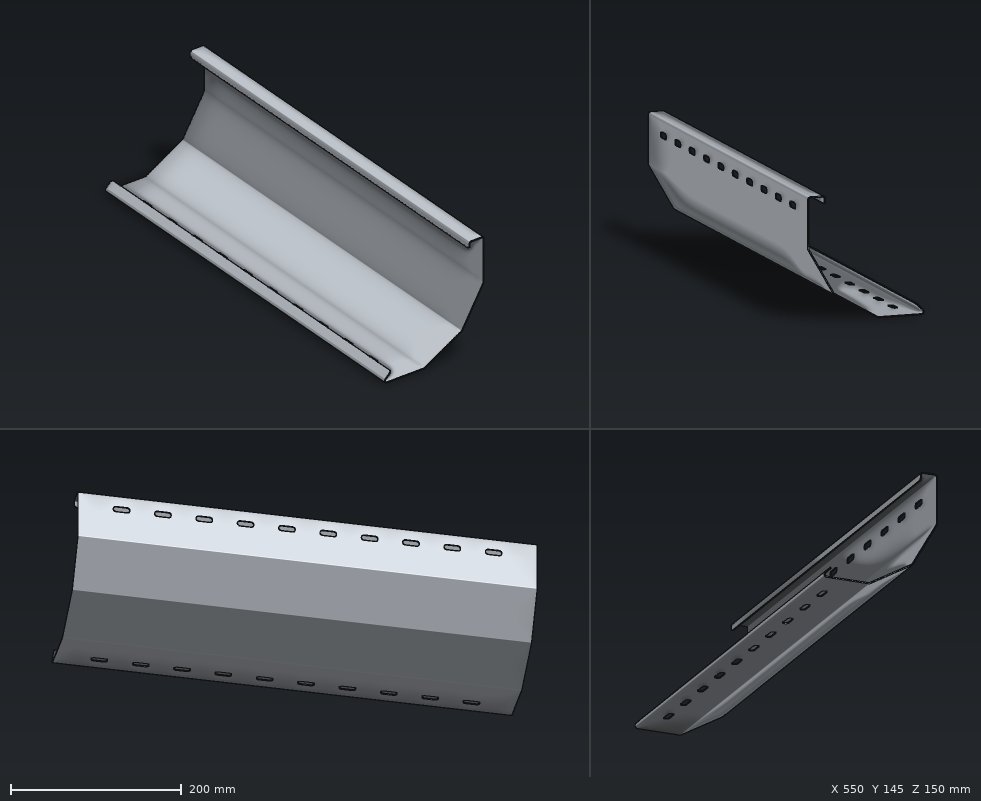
import cadquery as cq
import math

length = 550.0
depth = 145.0
height = 150.0
thickness = 1.5

facet_length = 64.0
steep_angle = 60.0
shallow_angle = 30.0
top_flange = 22.0
top_lip = 10.0
hook_length = 11.5
hook_angle = 45.0
inner_bend_radius = 2.0
lip_corner_radius = 3.5

slot_count = 10
slot_pitch = 49.5
slot_length = 20.0
slot_width = 7.0
back_slot_drop = 19.0
floor_slot_setback = 20.5

half_length = length / 2
outer_bend_radius = inner_bend_radius + thickness
front = -depth / 2
back = depth / 2
bottom = -height / 2
top = height / 2


def step(point, angle, distance):
    """Point reached by moving a distance at an angle in the YZ plane."""
    direction = math.radians(angle)
    return (point[0] + distance * math.cos(direction), point[1] + distance * math.sin(direction))


def offset_right(points, distance):
    """Mitred parallel of an open polyline, on the right of its direction of travel."""
    headings = [math.atan2(b[1] - a[1], b[0] - a[0]) for a, b in zip(points, points[1:])]
    before = [headings[0]] + headings
    after = headings + [headings[-1]]
    shifted = []
    for (y, z), h_in, h_out in zip(points, before, after):
        spread = 1 + math.cos(h_out - h_in)
        shifted.append((
            y + distance * (math.sin(h_in) + math.sin(h_out)) / spread,
            z - distance * (math.cos(h_in) + math.cos(h_out)) / spread,
        ))
    return shifted


def edges_near(solid, points):
    """Edges of the solid, the closest one to each point."""
    picked = solid.newObject([])
    for point in points:
        picked = picked.add(solid.edges(cq.NearestToPointSelector(point)))
    return picked


facets_run = facet_length * (math.cos(math.radians(steep_angle)) + math.cos(math.radians(shallow_angle)))
floor_back = (back - facets_run, bottom)
facet_joint = step(floor_back, shallow_angle, facet_length)
wall_foot = step(facet_joint, steep_angle, facet_length)

front_tangent = outer_bend_radius * math.tan(math.radians(90 - hook_angle / 2))
front_apex = (front + outer_bend_radius - front_tangent, bottom)

outside = [
    (back - top_flange, top - top_lip),
    (back - top_flange, top),
    (back, top),
    wall_foot,
    facet_joint,
    floor_back,
    front_apex,
    step(front_apex, hook_angle, front_tangent + hook_length),
]
inside = offset_right(outside, thickness)

gutter = (
    cq.Workplane("YZ")
    .polyline(outside + inside[::-1])
    .close()
    .extrude(half_length, both=True)
)

folds = range(1, len(outside) - 1)
gutter = edges_near(gutter, [(0, *inside[i]) for i in folds]).fillet(inner_bend_radius)
gutter = edges_near(gutter, [(0, *outside[i]) for i in folds]).fillet(outer_bend_radius)

lip_corners = [
    (end, (outside[tip][0] + inside[tip][0]) / 2, (outside[tip][1] + inside[tip][1]) / 2)
    for tip in (0, -1)
    for end in (-half_length, half_length)
]
gutter = edges_near(gutter, lip_corners).fillet(lip_corner_radius)


def slot_row(plane, origin):
    """Row of slots along X, cutting through the sheet at the origin."""
    return (
        cq.Workplane(plane, origin=origin)
        .rarray(slot_pitch, 5.5, slot_count, 1)
        .slot2D(slot_length, slot_width)
        .extrude(2 * thickness, both=True)
    )


back_slots = slot_row("XZ", (0, back, top - back_slot_drop))
floor_slots = slot_row("XY", (0, front + floor_slot_setback, bottom))

result = gutter.cut(back_slots).cut(floor_slots)